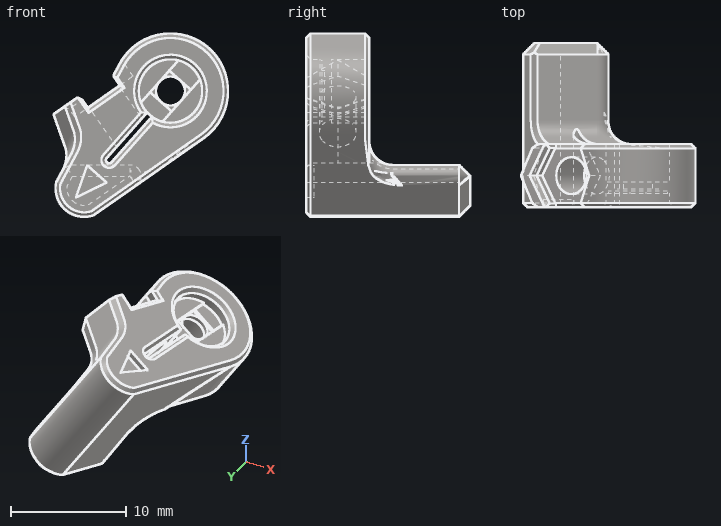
import cadquery as cq
import math

thickness = 5.5
edge_chamfer = 0.4

hub_radius = 5.0
foot_radius = 2.5
arm_length = 11.25
flank_angle = 35.0
flank_taper = 13.4
arm_angle = flank_angle + flank_taper

recess_radius = 2.75
recess_depth = 1.2
bore_radius = 1.25
socket_floor = 2.2
bridge_step = 0.2

slot_width = 0.55
slot_length = 8.0

arrow_base_distance = 9.6
arrow_length = 2.75
arrow_width = 2.25
arrow_depth = 0.7

nut_along = -5.0
nut_corner_radius = 3.08
nut_floor = 2.92
nut_v_angle = 30.0
nut_wall = 1.2
boss_v_angle = 27.0
screw_diameter = 3.2
boss_top = 4.17
boss_lean = 15.5
boss_bottom = -1.0
boss_inner_overlap = 1.0
boss_fillet = 1.95

peg_end = 14.25
peg_top_rise = 2.02
peg_corner_radius = 0.98
peg_end_chamfer = 1.0
peg_root_fillet = 2.0

mid_y = thickness / 2
tolerance = 0.02
through = 4 * hub_radius


def polar(angle, along, across=0.0):
    """XZ point given along and across (left of) a direction at `angle` from +X."""
    c = math.cos(math.radians(angle))
    s = math.sin(math.radians(angle))
    return (along * c - across * s, along * s + across * c)


def front_sketch(y=0.0):
    """Workplane parallel to XZ; a negative extrusion runs towards +Y."""
    return cq.Workplane("XZ", origin=(0, y, 0))


peg_top = polar(arm_angle, -arm_length)[1] + peg_top_rise

corner_rise = peg_corner_radius - hub_radius
corner_z = peg_top - peg_corner_radius
corner_along = (corner_z - corner_rise * math.cos(math.radians(flank_angle))) / math.sin(
    math.radians(flank_angle)
)
peg_root_end = corner_along + math.sqrt((peg_corner_radius + peg_root_fillet) ** 2 - peg_corner_radius**2)

upper_flank_angle = arm_angle + flank_taper
foot_offset = hub_radius - arm_length * math.sin(math.radians(flank_taper))
flank_end = -arm_length * math.cos(math.radians(flank_taper)) - math.sqrt(foot_radius**2 - foot_offset**2)


def arm_outline(y=0.0):
    """Round hub and round foot joined by two flanks that are tangent to the hub."""
    lower_foot = polar(flank_angle, flank_end, -hub_radius)
    return (
        front_sketch(y)
        .moveTo(*lower_foot)
        .lineTo(*polar(flank_angle, 0, -hub_radius))
        .threePointArc(polar(arm_angle, hub_radius), polar(upper_flank_angle, 0, hub_radius))
        .lineTo(*polar(upper_flank_angle, flank_end, hub_radius))
        .threePointArc(polar(arm_angle, -arm_length - foot_radius), lower_foot)
        .close()
    )


def seat_point(along, y, up):
    """3D point in the nut seat frame."""
    x, z = polar(flank_angle, along, up)
    return cq.Vector(x, y, z)


def boss():
    """Leaning wall with a V-shaped outer side."""
    corner = nut_along - nut_corner_radius - nut_wall / math.cos(math.radians(nut_v_angle))
    side = corner + mid_y * math.tan(math.radians(boss_v_angle))
    inner = nut_along + boss_inner_overlap
    section = [(inner, 0), (side, 0), (corner, mid_y), (side, thickness), (inner, thickness)]
    wire = cq.Wire.makePolygon([seat_point(a, y, boss_top) for a, y in section], close=True)
    drop = boss_top - boss_bottom
    lean = drop * math.tan(math.radians(boss_lean))
    sweep = seat_point(-lean, 0, -drop)
    return cq.Workplane(cq.Solid.extrudeLinear(wire, [], sweep))


def pocket_prism():
    """Through-thickness prism with V-shaped ends, open at the top."""
    side = nut_corner_radius - mid_y * math.tan(math.radians(nut_v_angle))
    section = [
        (nut_along - side, 0),
        (nut_along - nut_corner_radius, mid_y),
        (nut_along - side, thickness),
        (nut_along + side, thickness),
        (nut_along + nut_corner_radius, mid_y),
        (nut_along + side, 0),
    ]
    wire = cq.Wire.makePolygon([seat_point(a, y, nut_floor) for a, y in section], close=True)
    return cq.Workplane(cq.Solid.extrudeLinear(wire, [], seat_point(0, 0, hub_radius)))


def region_beyond(angle, start, side):
    """Block covering everything past `start` along a direction; side +1 is onwards, -1 backwards."""
    block = cq.Workplane("XY").box(2 * through, 2 * through, 2 * through)
    block = block.translate((start + side * through, 0, 0))
    return block.rotate((0, 0, 0), (0, 1, 0), -angle)


def screw_hole():
    """Hole from the pocket floor that opens into the slot and ends at the slot centreline."""
    start = seat_point(nut_along, mid_y, hub_radius)
    hole = cq.Solid.makeCylinder(screw_diameter / 2, through, start, seat_point(0, 0, -1))
    return cq.Workplane(hole).intersect(region_beyond(arm_angle + 90, 0, 1))


def peg():
    """Foot of the outline below a flat top, with one rounded corner and a bevelled end."""
    shaft_length = peg_end - peg_end_chamfer
    below_top = front_sketch().center(0, peg_top - through).rect(2 * through, 2 * through)
    shaft = arm_outline().extrude(-shaft_length).intersect(below_top.extrude(-shaft_length))
    shaft = shaft.edges("|Y").edges(">X").fillet(peg_corner_radius)
    tip = shaft.faces(">Y").wires().toPending().workplane().extrude(peg_end_chamfer, taper=45)
    return shaft.union(tip)


def chosen_edges(body, wanted):
    """Edges of `body` whose centre satisfies `wanted(x, y, z)`."""
    return body.newObject([e for e in body.edges().vals() if wanted(*e.Center().toTuple())])


def on_boss_root(x, y, z):
    """The two slanting edges where the boss meets the upper flank."""
    across = polar(-upper_flank_angle, x, z)[1]
    return abs(across - hub_radius) < tolerance and abs(abs(y - mid_y) - thickness / 4) < tolerance


def on_boss_top(x, z):
    """Anything lying in the flat top of the boss."""
    along, up = polar(-flank_angle, x, z)
    return along < nut_along and abs(up - boss_top) < tolerance


def on_pocket_mouth(x, y, z):
    """The two edges of the boss top that overlook the pocket, clear of the bevelled rims."""
    clear_of_rims = edge_chamfer < y < thickness - edge_chamfer
    in_pocket = polar(-flank_angle, x, z)[0] > nut_along - nut_corner_radius
    return clear_of_rims and in_pocket and on_boss_top(x, z)


def on_peg_root(x, y, z):
    """Flat top and rounded corner of the peg where it leaves the back face."""
    return abs(y - thickness) < tolerance and z < peg_top + tolerance


def on_front_rim(x, y, z):
    """Front outline except the round foot and the flat top of the boss."""
    on_foot = polar(-arm_angle, x, z)[0] < flank_end
    return abs(y) < tolerance and not on_foot and not on_boss_top(x, z)


def on_back_rim(x, y, z):
    """Back outline from the nut pocket round the boss and out along the top of the peg."""
    along, up = polar(-flank_angle, x, z)
    pocket_end = nut_along + nut_corner_radius / 2
    in_stretch = along < pocket_end and up > -edge_chamfer / 2
    return y > thickness - tolerance and in_stretch and not on_boss_top(x, z)


def rim_wedge(y_inner, outward):
    """Ring left around the plain outline when its rim is bevelled from y_inner outwards."""
    slab = arm_outline(y_inner).extrude(outward * edge_chamfer)
    return slab.cut(arm_outline(y_inner).extrude(outward * edge_chamfer, taper=45))


def hub_bore():
    """Front recess with a bevelled mouth and stepped floors, a round bore and a back socket."""
    recess = front_sketch().circle(recess_radius).extrude(-recess_depth)
    mouth = front_sketch().circle(recess_radius + edge_chamfer).extrude(-edge_chamfer, taper=45)
    bore = front_sketch().circle(bore_radius).extrude(-thickness)
    width = 2 * bore_radius
    turned = front_sketch().transformed(rotate=(0, 0, arm_angle))
    first_depth = recess_depth + bridge_step
    band = turned.rect(2 * recess_radius, width).extrude(-first_depth)
    band = band.intersect(front_sketch().circle(recess_radius).extrude(-first_depth))
    square = turned.rect(width, width).extrude(-first_depth - bridge_step)
    socket = front_sketch(socket_floor).circle(recess_radius).extrude(-thickness)
    return recess.union(socket).union(mouth).union(band).union(square).union(bore)


def slot_profile(width):
    """Round-ended slot from the hub axis towards the foot."""
    centre = polar(arm_angle, -slot_length / 2)
    return (
        front_sketch()
        .center(*centre)
        .transformed(rotate=(0, 0, arm_angle))
        .slot2D(slot_length + width, width)
    )


def slot():
    """Narrow slot through the arm with a bevelled front edge, stopping at the recess wall."""
    narrow = slot_profile(slot_width).extrude(-peg_end)
    bevel = slot_profile(slot_width + 2 * edge_chamfer).extrude(-edge_chamfer, taper=45)
    hub_core = front_sketch().circle(recess_radius).extrude(-peg_end)
    return narrow.union(bevel).cut(hub_core)


def arrow():
    """Shallow triangular mark pointing from the hub to the foot."""
    corners = [
        polar(arm_angle, -arrow_base_distance, arrow_width / 2),
        polar(arm_angle, -arrow_base_distance, -arrow_width / 2),
        polar(arm_angle, -arrow_base_distance - arrow_length),
    ]
    return front_sketch().polyline(corners).close().extrude(-arrow_depth)


body = arm_outline().extrude(-thickness).union(boss())
body = chosen_edges(body, on_boss_root).fillet(boss_fillet)
body = body.cut(pocket_prism())

body = body.union(peg())
body = chosen_edges(body, on_peg_root).fillet(peg_root_fillet)

body = chosen_edges(body, on_front_rim).chamfer(edge_chamfer)
body = body.cut(rim_wedge(edge_chamfer, 1).intersect(region_beyond(arm_angle, flank_end, -1)))
body = chosen_edges(body, on_back_rim).chamfer(edge_chamfer)
back_wedge = rim_wedge(thickness - edge_chamfer, -1)
body = body.cut(back_wedge.intersect(region_beyond(flank_angle, peg_root_end, 1)))
body = chosen_edges(body, on_pocket_mouth).chamfer(edge_chamfer)

for opening in (screw_hole(), hub_bore(), slot(), arrow()):
    body = body.cut(opening)

result = body